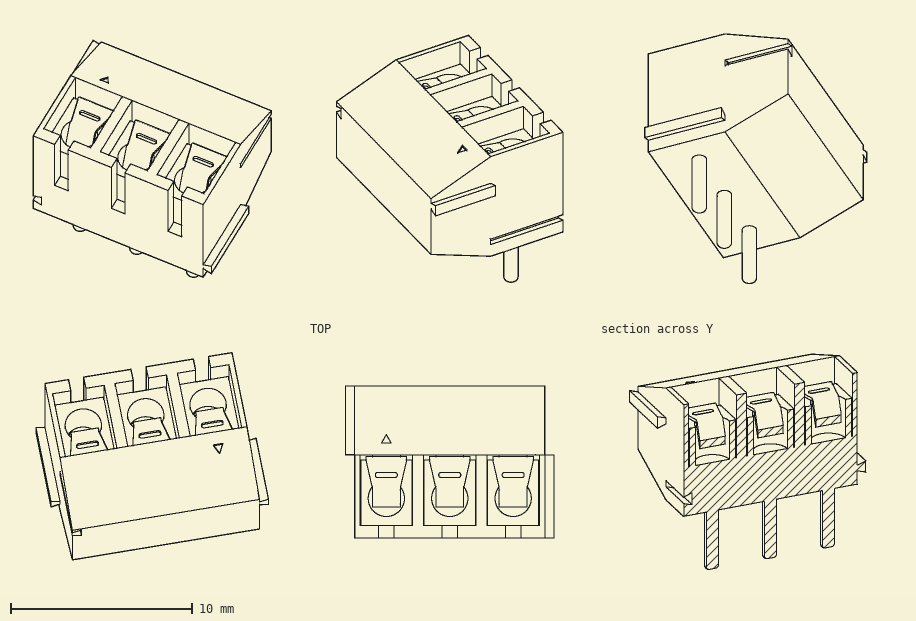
import cadquery as cq
import math


pole_count = 3
pitch = 3.5
width = pole_count * pitch
depth = 8.4
height = 6.8
knee_y = 4.6
slope_drop = 1.5

rail_reach = 0.51
rail_root = 0.37
rail_tip = 0.7
upper_rail_z = height - 2.0
lower_rail_z = 0.99

pocket_width = 2.89
pocket_front = 0.7
pocket_depth = 3.82
pocket_floor = height - pocket_depth
slit_width = 0.84

block_width = 2.82
block_back = 4.3
block_top = height - 1.5
wire_hole_radius = 1.0
wire_hole_y = 2.2

leaf_thickness = 0.17
leaf_width = 2.22
tail_width = 1.54
leaf_back = 4.5
back_bend_y = 4.25
taper_end_y = 2.77
tail_bend_y = 2.73
tail_bend_radius = 0.23
tail_slope = math.radians(70)
tail_tip_y = 1.72
leaf_slot_length = 1.22
leaf_slot_width = 0.3
leaf_slot_y = 3.48

screw_diameter = 1.54
screw_z = (pocket_floor + block_top) / 2

pin_diameter = 0.8
pin_length = 3.51
pin_y = 2.31
pin_tip_radius = 0.21

mark_width = 0.53
mark_front = 5.24
mark_back = 5.72
mark_depth = 0.12

pole_xs = [(i - (pole_count - 1) / 2) * pitch for i in range(pole_count)]


def box(x_size, y_from, y_to, z_from, z_to):
    """Box centred on X = 0 between the given Y and Z limits."""
    return cq.Workplane("XY").box(
        x_size, y_to - y_from, z_to - z_from, centered=(True, False, False)
    ).translate((0, y_from, z_from))


def make_housing():
    """Block with sloping roof and underside behind the knee."""
    return (
        cq.Workplane("YZ")
        .polyline([
            (0, 0),
            (knee_y, 0),
            (depth, slope_drop),
            (depth, height - slope_drop),
            (knee_y, height),
            (0, height),
        ])
        .close()
        .extrude(width / 2, both=True)
    )


def make_dovetail(root_x, z, y_from, y_to):
    """Dovetail bar that widens from root_x towards +X."""
    return (
        cq.Workplane("XZ", origin=(root_x, y_from, z))
        .polyline([
            (0, -rail_root / 2),
            (rail_reach, -rail_tip / 2),
            (rail_reach, rail_tip / 2),
            (0, rail_root / 2),
        ])
        .close()
        .extrude(y_from - y_to)
    )


def make_cavity():
    """Pocket of one pole and the slit in front of it."""
    pocket = box(pocket_width, pocket_front, knee_y, pocket_floor, height)
    slit = box(slit_width, 0, pocket_front, pocket_floor, height)
    return pocket.union(slit)


def make_block():
    """Metal block standing on the pocket floor, bored for the wire."""
    bore = (
        cq.Workplane("XY", origin=(0, wire_hole_y, pocket_floor))
        .circle(wire_hole_radius)
        .extrude(block_top - pocket_floor)
    )
    return box(block_width, pocket_front, block_back, pocket_floor, block_top).cut(bore)


def make_leaf():
    """Tapered spring with an elongated hole, a curled rear lip and a tail that slants forward."""
    top = block_top + leaf_thickness
    back_bend_radius = leaf_back - back_bend_y
    back_bend_z = top - back_bend_radius
    tail_bend_z = top - tail_bend_radius
    tail_start_y = tail_bend_y - tail_bend_radius
    tail_drop = (tail_start_y - tail_tip_y) * math.tan(tail_slope)

    inner_back_radius = back_bend_radius - leaf_thickness
    inner_tail_radius = tail_bend_radius - leaf_thickness
    inner_tail_y = tail_start_y + leaf_thickness
    inner_tail_z = tail_bend_z - leaf_thickness * math.tan(math.pi / 4 - tail_slope / 2)
    tip_shift_y = leaf_thickness * math.sin(tail_slope)
    tip_shift_z = leaf_thickness * math.cos(tail_slope)
    half_bend = math.sqrt(0.5)

    strip = (
        cq.Workplane("YZ")
        .moveTo(leaf_back, back_bend_z)
        .threePointArc(
            (back_bend_y + back_bend_radius * half_bend, back_bend_z + back_bend_radius * half_bend),
            (back_bend_y, top),
        )
        .lineTo(tail_bend_y, top)
        .threePointArc(
            (tail_bend_y - tail_bend_radius * half_bend, tail_bend_z + tail_bend_radius * half_bend),
            (tail_start_y, tail_bend_z),
        )
        .lineTo(tail_tip_y, tail_bend_z - tail_drop)
        .lineTo(tail_tip_y + tip_shift_y, tail_bend_z - tail_drop - tip_shift_z)
        .lineTo(inner_tail_y, inner_tail_z)
        .lineTo(inner_tail_y, tail_bend_z)
        .threePointArc(
            (tail_bend_y - inner_tail_radius * half_bend, tail_bend_z + inner_tail_radius * half_bend),
            (tail_bend_y, block_top),
        )
        .lineTo(back_bend_y, block_top)
        .threePointArc(
            (back_bend_y + inner_back_radius * half_bend, back_bend_z + inner_back_radius * half_bend),
            (back_bend_y + inner_back_radius, back_bend_z),
        )
        .close()
        .extrude(leaf_width / 2, both=True)
    )
    plan = (
        cq.Workplane("XY", origin=(0, 0, pocket_floor))
        .polyline([
            (-leaf_width / 2, leaf_back),
            (-leaf_width / 2, back_bend_y),
            (-tail_width / 2, taper_end_y),
            (-tail_width / 2, pocket_front),
            (tail_width / 2, pocket_front),
            (tail_width / 2, taper_end_y),
            (leaf_width / 2, back_bend_y),
            (leaf_width / 2, leaf_back),
        ])
        .close()
        .extrude(pocket_depth)
    )
    slot = (
        cq.Workplane("XY", origin=(0, leaf_slot_y, block_top))
        .slot2D(leaf_slot_length, leaf_slot_width)
        .extrude(leaf_thickness)
    )
    return strip.intersect(plan).cut(slot)


def make_screw():
    """Screw shank bridging the gap behind the block."""
    return (
        cq.Workplane("XZ", origin=(0, block_back, screw_z))
        .circle(screw_diameter / 2)
        .extrude(block_back - knee_y)
    )


def make_pin():
    """Round solder pin with a rounded tip."""
    return (
        cq.Workplane("XY", origin=(0, pin_y, 0))
        .circle(pin_diameter / 2)
        .extrude(-pin_length)
        .faces("<Z")
        .edges()
        .fillet(pin_tip_radius)
    )


def make_mark():
    """Vertical prism that sinks the triangle into the roof, its floor parallel to the roof."""
    prism = (
        cq.Workplane("XY")
        .polyline([
            (-mark_width / 2, mark_front),
            (mark_width / 2, mark_front),
            (0, mark_back),
        ])
        .close()
        .extrude(height)
    )
    return prism.cut(make_housing().translate((0, 0, -mark_depth)))


body = make_housing()

body = body.union(make_dovetail(-width / 2, upper_rail_z, knee_y, depth).mirror(
    "YZ", (-width / 2, 0, 0)))
body = body.union(make_dovetail(width / 2, lower_rail_z, 0, knee_y))

body = body.cut(make_dovetail(-width / 2, lower_rail_z, 0, knee_y))
body = body.cut(make_dovetail(width / 2, upper_rail_z, knee_y, depth).mirror(
    "YZ", (width / 2, 0, 0)))

body = body.cut(make_mark().translate((pole_xs[0], 0, 0)))

cavity = make_cavity()
pole_parts = [make_block(), make_leaf(), make_screw(), make_pin()]
for x in pole_xs:
    body = body.cut(cavity.translate((x, 0, 0)))
    for part in pole_parts:
        body = body.union(part.translate((x, 0, 0)))

result = body